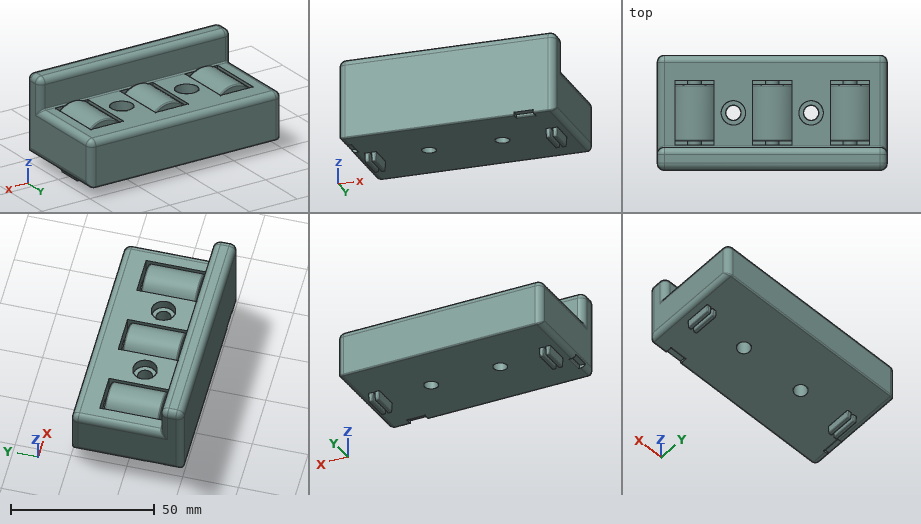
import cadquery as cq

length = 80
width = 40
wall_height = 30.0
wall_thickness = 8
deck_height = 18.0
edge_radius = 2.5
end_bottom_radius = 2.0
small_radius = 0.5

roller_pitch = 27.0
pocket_width = 13.6
pocket_length = 22.4
pocket_floor = 3.2
roller_radius = 8.8
roller_length = 19.7
roller_rise = 1.8
axle_diameter = 4.8

hole_diameter = 5.2
counterbore_diameter = 8.5
counterbore_depth = 3.5

notch_width = 7.0
notch_height = 1.2
notch_depth = 2.4
front_notch_x = 28.5
end_notch_y = -10.1

tab_depth = 3.5
tab_length = 10.0
tab_root_thickness = 1.9
tab_tip_thickness = 1.4
tab_radius = 0.3
tab_pitch = 2.5
tab_pair_x = 33.4

front_y = -width / 2
end_x = -length / 2
wall_back_y = front_y + wall_thickness
roller_axis_z = deck_height + roller_rise - roller_radius


def make_body():
    profile = [
        (front_y, 0),
        (-front_y, 0),
        (-front_y, deck_height),
        (wall_back_y, deck_height),
        (wall_back_y, wall_height),
        (front_y, wall_height),
    ]
    block = cq.Workplane("YZ").polyline(profile).close().extrude(length / 2, both=True)

    inner_corner = cq.selectors.NearestToPointSelector((0, wall_back_y, deck_height))
    rounded = block.edges(cq.StringSyntaxSelector("not <Z") - inner_corner).fillet(edge_radius)

    envelope = (
        cq.Workplane("XY")
        .box(length, width, wall_height, centered=(True, True, False))
        .edges("<Z and |Y")
        .fillet(end_bottom_radius)
    )
    mitred = rounded.intersect(envelope)

    eased = mitred.faces("<Z").edges("|X").fillet(small_radius)
    return eased.edges(inner_corner).fillet(small_radius)


def make_pocket():
    return cq.Workplane("XY", origin=(0, 0, pocket_floor)).box(
        pocket_width, pocket_length, deck_height, centered=(True, True, False)
    )


def make_roller():
    """Roller with its axle along Y; the roller merges into the pocket sides below the deck."""
    axis_plane = cq.Workplane("XZ", origin=(0, 0, roller_axis_z))
    roller = (
        axis_plane.circle(roller_radius)
        .extrude(roller_length / 2, both=True)
        .faces("<Y or >Y")
        .edges()
        .fillet(small_radius)
    )
    axle = axis_plane.circle(axle_diameter / 2).extrude(pocket_length / 2, both=True)
    return roller.union(axle)


def make_screw_hole():
    deck = cq.Workplane("XY", origin=(0, 0, deck_height))
    through_hole = deck.circle(hole_diameter / 2).extrude(-deck_height)
    counterbore = deck.circle(counterbore_diameter / 2).extrude(-counterbore_depth)
    return through_hole.union(counterbore)


def cut_notch(body, edge_x, edge_y, size_x, size_y, inner_wall_point):
    """Cut a notch centred on a bottom edge and ease the bottom of its inner wall."""
    cutter = cq.Workplane("XY").box(size_x, size_y, 2 * notch_height)
    notched = body.cut(cutter.translate((edge_x, edge_y, 0)))
    wall_edge = cq.selectors.NearestToPointSelector(inner_wall_point)
    return notched.edges(wall_edge).fillet(small_radius)


def make_tab():
    root = tab_root_thickness / 2
    tip = tab_tip_thickness / 2
    profile = [(-root, 0), (root, 0), (tip, -tab_depth), (-tip, -tab_depth)]
    return (
        cq.Workplane("XZ")
        .polyline(profile)
        .close()
        .extrude(tab_length / 2, both=True)
        .edges("not >Z")
        .fillet(tab_radius)
    )


result = make_body()

for roller_x in (-roller_pitch, 0, roller_pitch):
    place = (roller_x, 0, 0)
    result = result.cut(make_pocket().translate(place)).union(make_roller().translate(place))

for hole_x in (-roller_pitch / 2, roller_pitch / 2):
    result = result.cut(make_screw_hole().translate((hole_x, 0, 0)))

result = cut_notch(
    result, front_notch_x, front_y, notch_width, 2 * notch_depth,
    (front_notch_x, front_y + notch_depth, 0),
)
result = cut_notch(
    result, end_x, end_notch_y, 2 * notch_depth, notch_width,
    (end_x + notch_depth, end_notch_y, 0),
)

for pair_x in (-tab_pair_x, tab_pair_x):
    for offset in (-tab_pitch / 2, tab_pitch / 2):
        result = result.union(make_tab().translate((pair_x + offset, 0, 0)))